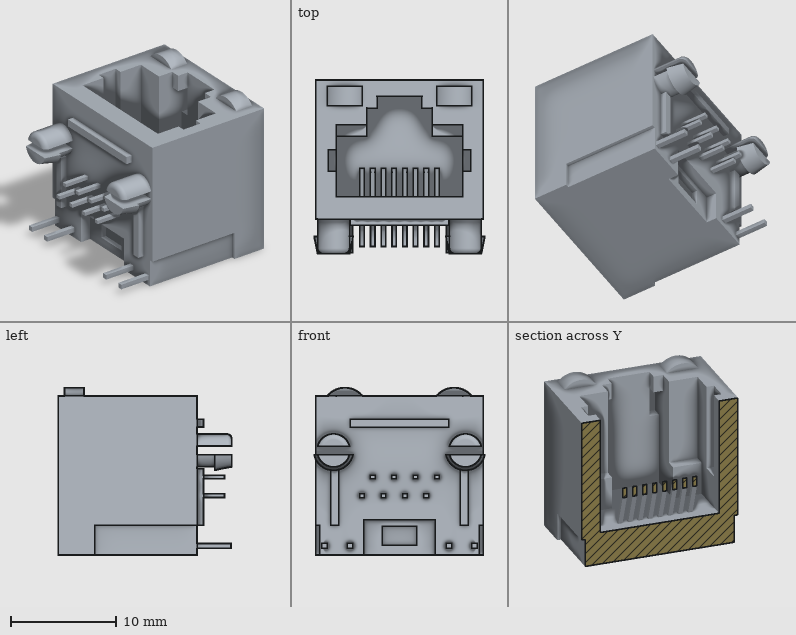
import cadquery as cq
import math


body_width = 15.9
body_depth = 13.2
body_height = 15.12
half_width = body_width / 2

side_recess_depth = 0.38
side_recess_height = 2.82
side_recess_length = 9.7

notch_width = 6.8
notch_height = 3.35
notch_depth = 1.05
window_width = 3.24
window_bottom = 0.94
window_height = 1.8
window_depth = 0.53

cavity_floor = 3.35
cavity_front = 2.1
plug_half_width = 6.01
plug_back = 8.96
shelf_front = 7.85
shelf_level = 6.6
latch_half_width = 3.1
latch_back = 11.64
lip_half_gap = 2.13
lip_front = 10.52
lip_height = 1.65
pocket_floor = 10.48
pocket_back = 12.7
side_slot_half_width = 6.77
side_slot_front = 4.55
side_slot_back = 6.57

lens_center = 5.18
lens_width = 3.3
lens_rise = 0.78
lens_front = 10.73
lens_length = 1.88

standoff_height = 0.61
bar_width = 9.35
bar_bottom = 12.13
bar_thickness = 0.76
rib_center = 6.15
rib_width = 0.76
rib_bottom = side_recess_height
rib_top = 8.2

peg_center = 6.25
peg_level = 9.94
peg_radius = 1.57
peg_length = 3.3
peg_slit = 0.83
peg_rounding = 0.53
barb_radius = 1.9
barb_length = 1.65

contact_count = 8
pin_row_spacing = 2.03
contact_spacing = pin_row_spacing / 2
pin_width = 0.45
pin_thickness = 0.36
pin_length = 2.61
pin_levels = (5.65, 7.41)
contact_tip = 4.8
contact_lean = 20.0
contact_thickness = 0.36
contact_sink = 0.17

ground_pin_centers = (4.7, 7.12)
ground_pin_size = 0.5
ground_pin_level = 0.88
ground_pin_length = 3.22


def block(x0, x1, y0, y1, z0, z1):
    """Box between two opposite corners."""
    return cq.Workplane("XY").box(x1 - x0, y1 - y0, z1 - z0, centered=False).translate((x0, y0, z0))


def centered_block(x, width, y0, y1, z0, z1):
    """Box centred on x."""
    return block(x - width / 2, x + width / 2, y0, y1, z0, z1)


def board_pin(x, z, width, thickness, length):
    """Rectangular pin standing on the board face."""
    return centered_block(x, width, -length, 0, z - thickness / 2, z + thickness / 2)


def make_cavity():
    """Stepped plug opening with latch channel, latch pockets and side slots."""
    top = body_height
    cavity = centered_block(0, 2 * plug_half_width, cavity_front, shelf_front, cavity_floor, top)
    cavity = cavity.union(centered_block(0, 2 * plug_half_width, shelf_front, plug_back, shelf_level, top))
    cavity = cavity.union(centered_block(0, 2 * latch_half_width, shelf_front, lip_front, cavity_floor, top))
    cavity = cavity.union(centered_block(0, 2 * lip_half_gap, lip_front, latch_back, cavity_floor, top))
    lip_bottom = top - lip_height
    cavity = cavity.union(
        centered_block(0, 2 * latch_half_width, lip_front, latch_back, cavity_floor, lip_bottom)
    )
    for x0 in (-latch_half_width, lip_half_gap):
        x1 = x0 + latch_half_width - lip_half_gap
        cavity = cavity.union(block(x0, x1, lip_front, pocket_back, pocket_floor, lip_bottom))
    side_slots = centered_block(
        0, 2 * side_slot_half_width, side_slot_front, side_slot_back, shelf_level, top
    )
    return cavity.union(side_slots)


def make_housing():
    """Outer block with the cavity, side recesses, board-face notch and window removed."""
    housing = centered_block(0, body_width, 0, body_depth, 0, body_height).cut(make_cavity())
    for x0 in (-half_width, half_width - side_recess_depth):
        x1 = x0 + side_recess_depth
        housing = housing.cut(block(x0, x1, 0, side_recess_length, 0, side_recess_height))
    housing = housing.cut(centered_block(0, notch_width, 0, notch_depth, 0, notch_height))
    window_back = notch_depth + window_depth
    window_top = window_bottom + window_height
    return housing.cut(centered_block(0, window_width, 0, window_back, window_bottom, window_top))


def make_lens(x):
    """Circular-segment prism along Y."""
    return (
        cq.Workplane("XZ", origin=(x, lens_front, body_height))
        .moveTo(-lens_width / 2, 0)
        .threePointArc((0, lens_rise), (lens_width / 2, 0))
        .close()
        .extrude(-lens_length)
    )


def make_peg(x):
    """Rounded upper half and barbed lower half of a peg divided by a slit."""
    board_face = cq.Workplane("XZ", origin=(x, 0, peg_level))
    shaft = board_face.circle(peg_radius).extrude(peg_length)
    half_slit = peg_slit / 2
    reach = 2 * barb_radius
    upper_space = centered_block(x, reach, -peg_length, 0, peg_level + half_slit, peg_level + reach)
    lower_space = centered_block(x, reach, -peg_length, 0, peg_level - reach, peg_level - half_slit)
    upper = shaft.faces("<Y").edges().fillet(peg_rounding).intersect(upper_space)
    barb = (
        board_face.workplane(offset=peg_length - barb_length)
        .circle(barb_radius)
        .workplane(offset=barb_length)
        .circle(peg_radius)
        .loft()
    )
    return upper, shaft.union(barb).intersect(lower_space)


def make_contact(x):
    """Spring contact leaning from the front cavity wall down into the cavity floor."""
    slope = 1 / math.tan(math.radians(contact_lean))
    y0 = cavity_front - contact_sink
    y1 = contact_tip + contact_sink
    z_tip = cavity_floor - contact_sink * slope
    z_root = z_tip + (y1 - y0) * slope
    drop = contact_thickness / math.sin(math.radians(contact_lean))
    return (
        cq.Workplane("YZ", origin=(x - pin_width / 2, 0, 0))
        .polyline([(y0, z_root), (y1, z_tip), (y1, z_tip - drop), (y0, z_root - drop)])
        .close()
        .extrude(pin_width)
    )


result = make_housing()
bar_top = bar_bottom + bar_thickness
result = result.union(centered_block(0, bar_width, -standoff_height, 0, bar_bottom, bar_top))
for side in (-1, 1):
    result = result.union(make_lens(side * lens_center))
    result = result.union(
        centered_block(side * rib_center, rib_width, -standoff_height, 0, rib_bottom, rib_top)
    )
    for peg_half in make_peg(side * peg_center):
        result = result.union(peg_half)
    for center in ground_pin_centers:
        result = result.union(
            board_pin(side * center, ground_pin_level, ground_pin_size, ground_pin_size, ground_pin_length)
        )
for index in range(contact_count):
    x = (index - (contact_count - 1) / 2) * contact_spacing
    level = pin_levels[index % 2]
    result = result.union(board_pin(x, level, pin_width, pin_thickness, pin_length))
    result = result.union(make_contact(x))